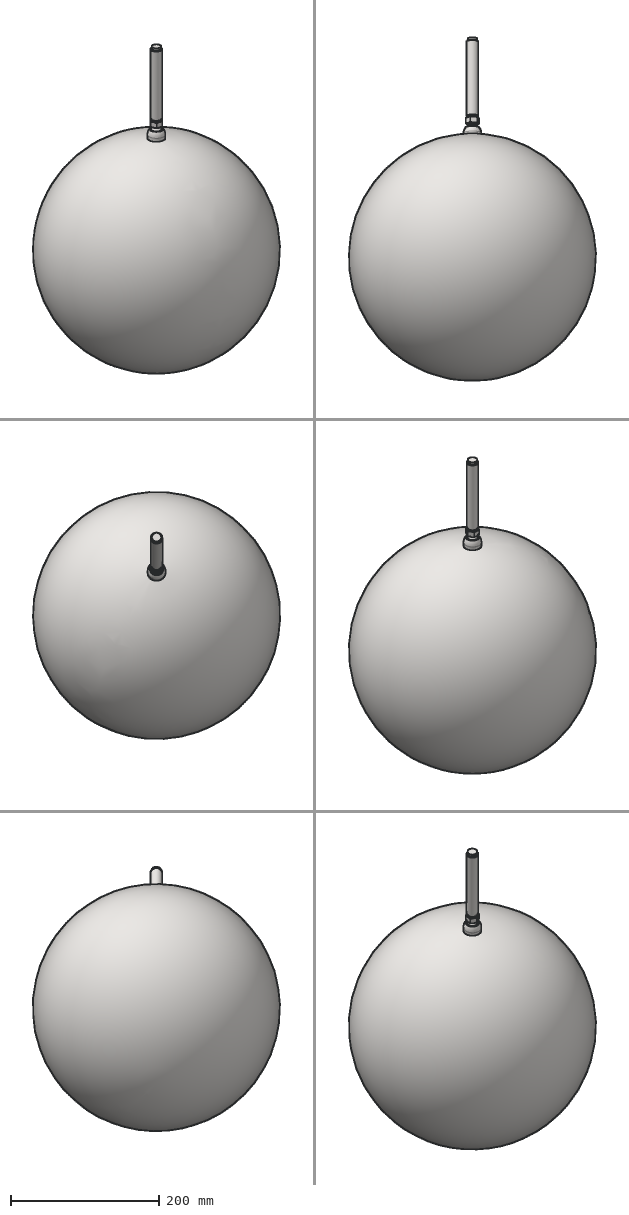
import cadquery as cq
import math

float_diameter = 334.0
float_radius = float_diameter / 2

overall_height = 470.11
point_length = 3.2
stem_length = 108.3
relief_length = 1.5
hex_height = 8.4
neck_length = 1.5

stem_diameter = 16.0
chamfer_end_diameter = 13.62
point_diameter = 13.0
relief_diameter = point_diameter
hex_across_flats = stem_diameter
hex_face_diameter = hex_across_flats
hex_chamfer_angle = math.radians(30)
hex_rim_clearance = 1.0
neck_diameter = 8.06

joint_ball_diameter = 16.0
housing_diameter = 24.5
housing_top_diameter = 18.4
housing_dome_radius = 12.4
housing_shoulder_height = 5.2
housing_height = 12.8

stem_top = overall_height - float_radius
point_bottom = stem_top - point_length
stem_bottom = stem_top - stem_length
hex_top = stem_bottom - relief_length
hex_bottom = hex_top - hex_height
neck_bottom = hex_bottom - neck_length
housing_top = float_radius + housing_height
housing_shoulder = float_radius + housing_shoulder_height

joint_ball_radius = joint_ball_diameter / 2
neck_radius = neck_diameter / 2
joint_ball_centre = neck_bottom - math.sqrt(joint_ball_radius**2 - neck_radius**2)


def turn(profile):
    """Revolve a closed XZ half-profile about the Z axis."""
    return profile.close().revolve(360, (0, 0, 0), (0, 1, 0))


def make_float():
    return cq.Workplane("XY").sphere(float_radius)


def make_housing():
    """Ball-joint socket: a cylinder rooted in the float, closed by a truncated dome."""
    housing_radius = housing_diameter / 2
    profile = (
        cq.Workplane("XZ")
        .lineTo(housing_radius, 0)
        .lineTo(housing_radius, housing_shoulder)
        .radiusArc((housing_top_diameter / 2, housing_top), -housing_dome_radius)
        .lineTo(0, housing_top)
    )
    return turn(profile)


def make_joint_ball():
    return cq.Workplane("XY").sphere(joint_ball_radius).translate((0, 0, joint_ball_centre))


def make_neck():
    """Neck from the ball centre up to the hexagon, so that it is rooted in the ball."""
    length = hex_bottom - joint_ball_centre
    return cq.Workplane("XY").workplane(offset=joint_ball_centre).circle(neck_radius).extrude(length)


def make_hexagon():
    """Hexagon with flats on +X and -X, its corners turned off at both ends."""
    corner_diameter = 2 * hex_across_flats / math.sqrt(3)
    prism = (
        cq.Workplane("XY")
        .workplane(offset=hex_bottom)
        .transformed(rotate=(0, 0, 30))
        .polygon(6, corner_diameter)
        .extrude(hex_height)
    )
    face_radius = hex_face_diameter / 2
    rim_radius = corner_diameter / 2 + hex_rim_clearance
    chamfer_height = (rim_radius - face_radius) * math.tan(hex_chamfer_angle)
    envelope_profile = cq.Workplane("XZ").polyline(
        [
            (0, hex_bottom),
            (face_radius, hex_bottom),
            (rim_radius, hex_bottom + chamfer_height),
            (rim_radius, hex_top - chamfer_height),
            (face_radius, hex_top),
            (0, hex_top),
        ]
    )
    return prism.intersect(turn(envelope_profile))


def make_stem():
    """Round stem, chamfered at 45 degrees at both ends, with a relief below and a point above."""
    stem_radius = stem_diameter / 2
    chamfer_end_radius = chamfer_end_diameter / 2
    relief_radius = relief_diameter / 2
    point_radius = point_diameter / 2
    chamfer = stem_radius - chamfer_end_radius
    profile = cq.Workplane("XZ").polyline(
        [
            (0, hex_top),
            (relief_radius, hex_top),
            (relief_radius, stem_bottom),
            (chamfer_end_radius, stem_bottom),
            (stem_radius, stem_bottom + chamfer),
            (stem_radius, point_bottom - chamfer),
            (chamfer_end_radius, point_bottom),
            (point_radius, point_bottom),
            (point_radius, stem_top),
            (0, stem_top),
        ]
    )
    return turn(profile)


result = (
    make_float()
    .union(make_housing())
    .union(make_joint_ball())
    .union(make_neck())
    .union(make_hexagon())
    .union(make_stem())
)